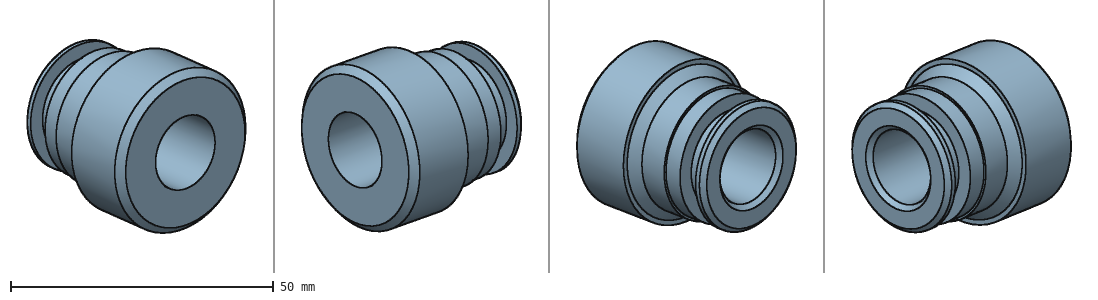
import cadquery as cq

total_length = 32.0
body_radius = 16.5
body_start = 18.0
body_chamfer = 1.5

flange_radius = 13.0
flange_width = 2.0
small_chamfer = 1.0
groove_radius = 10.0
groove_end = 6.2

shoulder_radius = 13.5
shoulder_start = 10.0
cone_start = 16.0
cone_end_radius = shoulder_radius + (body_start - cone_start)

bore_radius = 7.5


def make_sleeve():
    """Revolve the half profile, given as (station, radius) points."""
    profile = [
        (small_chamfer, bore_radius),
        (0, bore_radius + small_chamfer),
        (0, flange_radius - small_chamfer),
        (small_chamfer, flange_radius),
        (flange_width, flange_radius),
        (flange_width, groove_radius),
        (groove_end, groove_radius),
        (groove_end, flange_radius),
        (shoulder_start, flange_radius),
        (shoulder_start, shoulder_radius),
        (cone_start, shoulder_radius),
        (body_start, cone_end_radius),
        (body_start, body_radius),
        (total_length - body_chamfer, body_radius),
        (total_length, body_radius - body_chamfer),
        (total_length, bore_radius),
    ]
    sleeve = cq.Workplane("XY").polyline(profile).close()
    return sleeve.revolve(360, (0, 0, 0), (1, 0, 0))


result = make_sleeve()